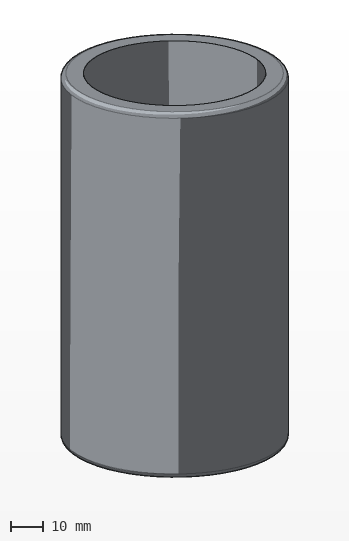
import cadquery as cq

length = 120.0
outer_diameter = 70.0
bore_diameter = 56.0
edge_radius = 1.5

tube = (
    cq.Workplane("XY")
    .circle(outer_diameter / 2)
    .circle(bore_diameter / 2)
    .extrude(length)
)

outer_rims = cq.selectors.RadiusNthSelector(-1)
result = tube.edges("%CIRCLE").edges(outer_rims).fillet(edge_radius)